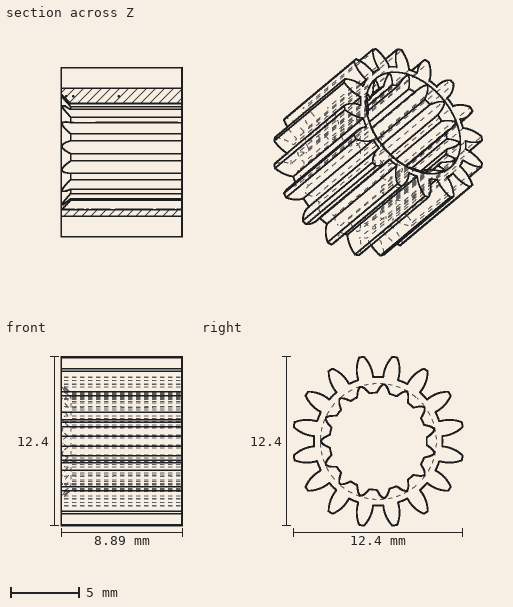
import cadquery as cq
import math

LENGTH = 8.89
MODULE = 0.7
TOOTH_COUNT = 16
DEDENDUM_FACTOR = 1.25
PITCH_RADIUS = MODULE * TOOTH_COUNT / 2
TIP_RADIUS = PITCH_RADIUS + MODULE
ROOT_RADIUS = PITCH_RADIUS - DEDENDUM_FACTOR * MODULE

TIP_HALF_ANGLE = 1.65
PITCH_HALF_ANGLE = 5.1
ROOT_HALF_ANGLE = 6.8

BORE_RADIUS = 3.565
GROOVE_COUNT = 15
GROOVE_FLOOR_RADIUS = 4.2
GROOVE_FLANK_ANGLE = 28.0
GROOVE_ROUND = 0.19

LEAD_IN_RADIUS = 4.26
LEAD_IN_DEPTH = LEAD_IN_RADIUS - BORE_RADIUS


def polar(radius, degrees):
    """Point in the YZ plane, measured from +Y."""
    angle = math.radians(degrees)
    return (radius * math.cos(angle), radius * math.sin(angle))


def gear_outline():
    """Closed outline of the external teeth, with curved flanks."""
    pitch_angle = 360 / TOOTH_COUNT
    outline = cq.Workplane("YZ").moveTo(*polar(ROOT_RADIUS, pitch_angle / 2 - ROOT_HALF_ANGLE))
    for tooth in range(TOOTH_COUNT):
        middle = (tooth + 0.5) * pitch_angle
        next_middle = middle + pitch_angle
        outline = outline.threePointArc(
            polar(PITCH_RADIUS, middle - PITCH_HALF_ANGLE), polar(TIP_RADIUS, middle - TIP_HALF_ANGLE)
        )
        outline = outline.threePointArc(polar(TIP_RADIUS, middle), polar(TIP_RADIUS, middle + TIP_HALF_ANGLE))
        outline = outline.threePointArc(
            polar(PITCH_RADIUS, middle + PITCH_HALF_ANGLE), polar(ROOT_RADIUS, middle + ROOT_HALF_ANGLE)
        )
        outline = outline.threePointArc(
            polar(ROOT_RADIUS, middle + pitch_angle / 2), polar(ROOT_RADIUS, next_middle - ROOT_HALF_ANGLE)
        )
    return outline.close()


def groove_cutter():
    """One groove along -Y; flanks and rounded floor are a single smooth curve."""
    flank = math.radians(GROOVE_FLANK_ANGLE)
    turn_radius = GROOVE_FLOOR_RADIUS - GROOVE_ROUND * (1 - math.sin(flank))
    turn_half_width = GROOVE_ROUND * math.cos(flank)
    mouth_radius = BORE_RADIUS - GROOVE_ROUND
    mouth_half_width = turn_half_width + (turn_radius - mouth_radius) * math.tan(flank)
    inward = (math.cos(flank), math.sin(flank))
    return (
        cq.Workplane("YZ")
        .moveTo(-mouth_radius, mouth_half_width)
        .spline(
            [
                (-turn_radius, turn_half_width),
                (-GROOVE_FLOOR_RADIUS, 0),
                (-turn_radius, -turn_half_width),
                (-mouth_radius, -mouth_half_width),
            ],
            tangents=[(-inward[0], -inward[1]), (inward[0], -inward[1])],
            includeCurrent=True,
        )
        .close()
        .extrude(LENGTH)
    )


def lead_in_cutter():
    """Cone that opens the bore at the -X face."""
    cone = cq.Solid.makeCone(LEAD_IN_RADIUS, BORE_RADIUS, LEAD_IN_DEPTH, cq.Vector(0, 0, 0), cq.Vector(1, 0, 0))
    return cq.Workplane(obj=cone)


gear = gear_outline().extrude(LENGTH)
gear = gear.cut(cq.Workplane("YZ").circle(BORE_RADIUS).extrude(LENGTH))
groove = groove_cutter()
for index in range(GROOVE_COUNT):
    gear = gear.cut(groove.rotate((0, 0, 0), (1, 0, 0), index * 360 / GROOVE_COUNT))
gear = gear.cut(lead_in_cutter())

result = gear